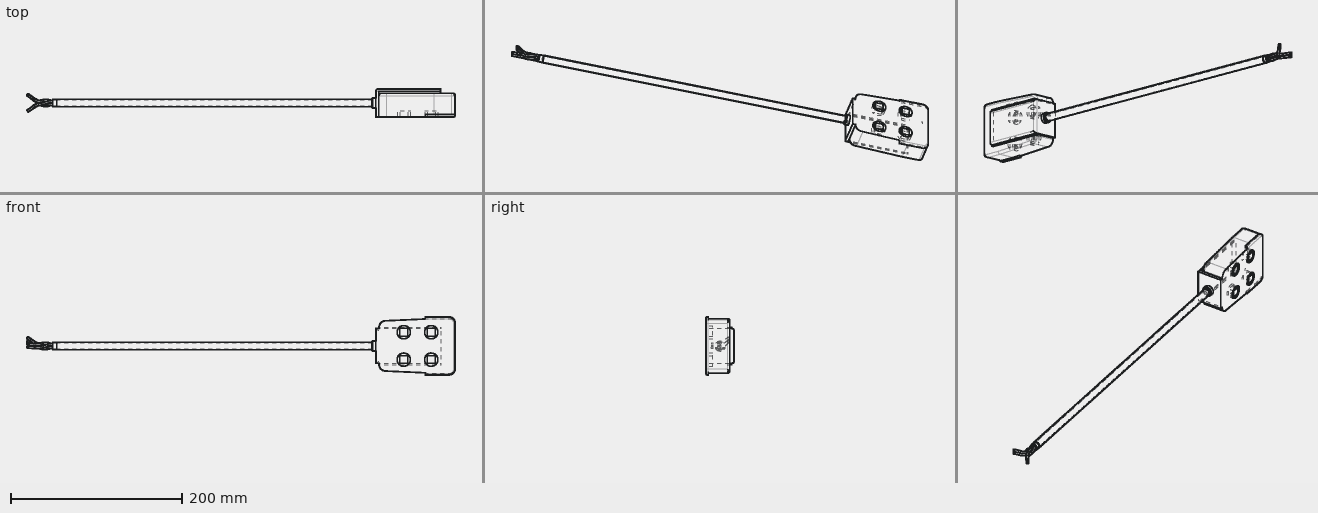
import cadquery as cq
import math

overall_length = 500.0
overall_depth = 33.0
overall_height = 68.0

front_y = -overall_depth / 2
cover_back_y = overall_depth / 2
shell_back_y = 11.5
shell_left_x = 411.0
shell_left_half_height = 22.0
shell_shoulder_x = 419.5
shell_shoulder_half_height = 29.5
shell_taper_end_x = 475.0
shell_half_height = 32.0
shell_corner_radius = 4.5
shell_back_fillet = 3.0

cover_left_x = 407.5
cover_right_x = 483.0
cover_half_height = 20.5
cover_back_fillet = 3.0
ledge_back_y = 13.5

flange_left_x = 465.0
flange_thickness = 3.0
flange_corner_radius = 7.5
flange_front_fillet = 2.0

recess_center_x = 456.0
recess_pitch = 32.0
recess_diameter = 15.5
recess_depth = 7.5
post_side = 9.0

jacket_diameter = 9.0
core_diameter = 8.5
jacket_bore = 7.0
jacket_start_x = 35.0
core_start_x = 30.0
collar_left_x = 402.5
collar_diameter = 12.0
collar_chamfer = 1.25

wire_diameter = 2.75
wire_tip_x = 0.85
wire_branch_x = 14.0
wire_bulge_x = 22.5
wire_circle_radius = 2.5
wire_bulge_radius = 3.1
wire_twist_step = 45
branch_tip_y = 9.5
raised_branch_tip_z = 7.5
level_branch_tip_z = 0.5


def plate(outline, y_from, y_to):
    """Extrude an outline drawn in X and Z between two Y positions."""
    return outline.extrude(-(y_to - y_from)).translate((0, y_from, 0))


def box_between(x_from, x_to, y_from, y_to, half_height):
    """Box symmetric about Z = 0."""
    size_x = x_to - x_from
    size_y = y_to - y_from
    return cq.Workplane("XY").box(size_x, size_y, 2 * half_height).translate(
        (x_from + size_x / 2, y_from + size_y / 2, 0)
    )


def make_shell():
    """Main block: rounded shoulders at -X, slightly tapered sides and a rounded back edge."""
    bend = 0.5 ** 0.5
    shoulder_width = shell_shoulder_x - shell_left_x
    shoulder_rise = shell_shoulder_half_height - shell_left_half_height
    arc_mid_x = shell_shoulder_x - shoulder_width * bend
    arc_mid_z = shell_left_half_height + shoulder_rise * bend
    outline = (
        cq.Workplane("XZ")
        .moveTo(shell_left_x, -shell_left_half_height)
        .lineTo(shell_left_x, shell_left_half_height)
        .threePointArc((arc_mid_x, arc_mid_z), (shell_shoulder_x, shell_shoulder_half_height))
        .lineTo(shell_taper_end_x, shell_half_height)
        .lineTo(overall_length, shell_half_height)
        .lineTo(overall_length, -shell_half_height)
        .lineTo(shell_taper_end_x, -shell_half_height)
        .lineTo(shell_shoulder_x, -shell_shoulder_half_height)
        .threePointArc((arc_mid_x, -arc_mid_z), (shell_left_x, -shell_left_half_height))
        .close()
    )
    shell = plate(outline, front_y, shell_back_y)
    shell = shell.edges("|Y and >X").fillet(shell_corner_radius)
    return shell.faces(">Y").edges().fillet(shell_back_fillet)


def make_flange():
    """Thin rim at the front of the +X end."""
    return box_between(
        flange_left_x, overall_length, front_y, front_y + flange_thickness, overall_height / 2
    )


def make_envelope():
    """Block with rounded +X corners and a rounded front rim, which trims the flange and the shell."""
    envelope = box_between(cover_left_x, overall_length, front_y, cover_back_y, overall_height / 2)
    envelope = envelope.edges("|Y and >X").fillet(flange_corner_radius)
    return envelope.faces("<Y").edges("not <X").fillet(flange_front_fillet)


def make_cover():
    """Raised back cover that wraps around the -X end, with its wider ledge."""
    cover = box_between(cover_left_x, cover_right_x, front_y, cover_back_y, cover_half_height)
    cover = cover.faces(">Y").edges("not >X").fillet(cover_back_fillet)
    ledge = box_between(shell_left_x, cover_right_x, front_y, ledge_back_y, shell_left_half_height)
    return cover.union(ledge)


def cylinder_along_x(diameter, x_from, x_to):
    """Round bar on the cable axis."""
    return cq.Workplane("YZ", origin=(x_from, 0, 0)).circle(diameter / 2).extrude(x_to - x_from)


def make_recess_cutters():
    """Four round recesses that leave a square post standing in the middle of each."""
    front = cq.Workplane("XZ", origin=(recess_center_x, front_y, 0))
    centers = front.rarray(recess_pitch, recess_pitch, 2, 2)
    rounds = centers.circle(recess_diameter / 2).extrude(-recess_depth)
    posts = centers.rect(post_side, post_side).extrude(-recess_depth)
    return rounds.cut(posts)


def make_housing():
    """Shell, flange and cover in one piece, with the cable collar on the -X side."""
    housing = make_shell().union(make_flange()).union(make_cover()).intersect(make_envelope())
    collar = cylinder_along_x(collar_diameter, collar_left_x, cover_left_x)
    collar = collar.faces("<X").chamfer(collar_chamfer)
    return housing.union(collar).cut(make_recess_cutters())


def make_jacket():
    """Outer cable tube, ending on the housing collar."""
    jacket = cylinder_along_x(jacket_diameter, jacket_start_x, collar_left_x)
    return jacket.cut(cylinder_along_x(jacket_bore, jacket_start_x, collar_left_x))


def make_core():
    """Inner cable that fills the jacket and sticks out of its -X end."""
    exposed = cylinder_along_x(core_diameter, core_start_x, jacket_start_x)
    return exposed.union(cylinder_along_x(jacket_bore, jacket_start_x, collar_left_x))


def point_in_bundle(x, radius, angle):
    """Point on a circle around the cable axis, with the angle in degrees from +Y towards +Z."""
    turn = math.radians(angle)
    return cq.Vector(x, radius * math.cos(turn), radius * math.sin(turn))


def make_wire(branch_angle, tip_y, tip_z):
    """One wire: it leaves the core, twists around the bundle, then bends away along its branch.

    branch_angle is its place in the bundle where the branches part.
    """
    start = point_in_bundle(core_start_x, wire_circle_radius, branch_angle - 2 * wire_twist_step)
    bulge = point_in_bundle(wire_bulge_x, wire_bulge_radius, branch_angle - wire_twist_step)
    parting = point_in_bundle(wire_branch_x, wire_circle_radius, branch_angle)
    height_in_branch = cq.Vector(0, 0, parting.z)
    tip = cq.Vector(wire_tip_x, tip_y, tip_z) + height_in_branch
    path = cq.Workplane("XY").spline(
        [start, bulge, parting, tip],
        tangents=[cq.Vector(-1, 0, 0), tip - parting],
    )
    section = cq.Workplane("YZ", origin=start.toTuple()).circle(wire_diameter / 2)
    return section.sweep(path)


housing = make_housing()
jacket = make_jacket()
core = make_core()
raised_branch = [make_wire(angle, branch_tip_y, raised_branch_tip_z) for angle in (45, -45)]
level_branch = [make_wire(angle, -branch_tip_y, level_branch_tip_z) for angle in (135, -135)]
wires = raised_branch + level_branch

result = cq.Compound.makeCompound(
    [housing.val(), jacket.val(), core.val(), *[wire.val() for wire in wires]]
)